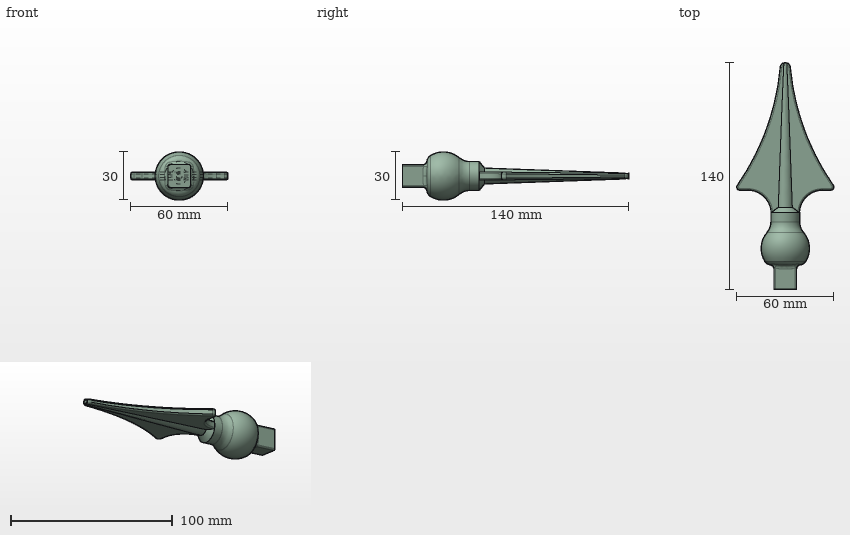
import cadquery as cq
import math

total_length = 140.0

shank_width = 14.0
shank_edge_radius = 1.0
shank_root_radius = 2.5
root_zone_depth = 1.0

ball_radius = 15.0
ball_center_y = 25.3
ball_base_radius = 5.0
ball_base_y = 15.0
neck_radius = 10.0
collar_radius = 18.0 / 2
collar_end_y = 47.4
cone_end_y = 50.7

spine_base_radius = 5.0
spine_tip_radius = 1.8
spine_end_inset = 0.2
spine_end_y = total_length - spine_end_inset

blade_span = 60.0
blade_base_thickness = 5.0
blade_tip_thickness = 3.15
blade_edge_radius = 1.0
blade_root_y = 44.0
blade_root_inset = 0.2
blade_root_half_width = collar_radius - blade_root_inset
barb_radius = 2.0
barb_bottom_y = 61.2
tip_radius = 3.2
throat_radius = 14.2
blade_flank_radius = 150.0


def make_turned_body():
    """Ball, neck, collar and end cone, revolved about the Y axis."""
    base_center_y = ball_base_y + ball_base_radius
    center_gap = ball_radius - ball_base_radius
    base_center_x = math.sqrt(center_gap**2 - (ball_center_y - base_center_y) ** 2)
    base_scale = ball_radius / center_gap
    base_tangent = (
        base_center_x * base_scale,
        ball_center_y + (base_center_y - ball_center_y) * base_scale,
    )
    base_tangent_angle = math.atan2(base_tangent[1] - ball_center_y, base_tangent[0])
    base_mid_angle = (base_tangent_angle - math.pi / 2) / 2
    base_mid = (
        base_center_x + ball_base_radius * math.cos(base_mid_angle),
        base_center_y + ball_base_radius * math.sin(base_mid_angle),
    )

    neck_center_x = collar_radius + neck_radius
    neck_gap = ball_radius + neck_radius
    neck_rise = math.sqrt(neck_gap**2 - neck_center_x**2)
    neck_center_y = ball_center_y + neck_rise
    neck_angle = math.atan2(neck_rise, neck_center_x)
    neck_tangent = (
        ball_radius * math.cos(neck_angle),
        ball_center_y + ball_radius * math.sin(neck_angle),
    )
    neck_mid = (
        neck_center_x - neck_radius * math.cos(neck_angle / 2),
        neck_center_y - neck_radius * math.sin(neck_angle / 2),
    )

    return (
        cq.Workplane("XY")
        .moveTo(0, ball_base_y)
        .lineTo(base_center_x, ball_base_y)
        .threePointArc(base_mid, base_tangent)
        .threePointArc((ball_radius, ball_center_y), neck_tangent)
        .threePointArc(neck_mid, (collar_radius, neck_center_y))
        .lineTo(collar_radius, collar_end_y)
        .lineTo(spine_base_radius, cone_end_y)
        .lineTo(0, cone_end_y)
        .close()
        .revolve(360, (0, 0, 0), (0, 1, 0))
    )


def add_shank(body):
    """Square shank with rounded long edges and a filleted root."""
    shank = (
        cq.Workplane("XZ")
        .rect(shank_width, shank_width)
        .extrude(-ball_center_y)
        .edges("|Y")
        .fillet(shank_edge_radius)
    )
    joined = body.union(shank)
    root_zone = cq.selectors.BoxSelector(
        (-shank_width, ball_base_y - root_zone_depth, -shank_width),
        (shank_width, ball_base_y + root_zone_depth, shank_width),
    )
    return joined.edges(root_zone).fillet(shank_root_radius)


def point_toward(start, target, distance):
    """Point at a distance from start on the line to target."""
    angle = math.atan2(target[1] - start[1], target[0] - start[0])
    return (start[0] + distance * math.cos(angle), start[1] + distance * math.sin(angle))


def make_blade_outline():
    """Solid with the blade's outline, thicker than the finished blade."""
    barb_center = (blade_span / 2 - barb_radius, barb_bottom_y + barb_radius)
    tip_center = (0, total_length - tip_radius)

    barb_gap = blade_flank_radius + barb_radius
    tip_gap = blade_flank_radius + tip_radius
    run = barb_center[0] - tip_center[0]
    rise = barb_center[1] - tip_center[1]
    spacing = math.hypot(run, rise)
    tip_corner_cos = (tip_gap**2 + spacing**2 - barb_gap**2) / (2 * tip_gap * spacing)
    flank_angle = math.atan2(rise, run) + math.acos(tip_corner_cos)
    flank_center = (tip_gap * math.cos(flank_angle), tip_center[1] + tip_gap * math.sin(flank_angle))
    barb_top = point_toward(barb_center, flank_center, barb_radius)
    tip_side = point_toward(tip_center, flank_center, tip_radius)
    chord_mid = ((barb_top[0] + tip_side[0]) / 2, (barb_top[1] + tip_side[1]) / 2)
    flank_mid = point_toward(flank_center, chord_mid, blade_flank_radius)

    throat_center_x = blade_root_half_width + throat_radius
    throat_center_y = barb_bottom_y - throat_radius
    throat_mid = (
        throat_center_x - throat_radius * math.cos(math.pi / 4),
        throat_center_y + throat_radius * math.sin(math.pi / 4),
    )
    half = (
        cq.Workplane("XY", origin=(0, 0, -ball_radius))
        .moveTo(0, blade_root_y)
        .lineTo(blade_root_half_width, blade_root_y)
        .lineTo(blade_root_half_width, throat_center_y)
        .threePointArc(throat_mid, (throat_center_x, barb_bottom_y))
        .lineTo(barb_center[0], barb_bottom_y)
        .threePointArc((blade_span / 2, barb_center[1]), barb_top)
        .threePointArc(flank_mid, tip_side)
        .radiusArc((0, total_length), -tip_radius)
        .close()
        .extrude(2 * ball_radius)
    )
    return half.union(half.mirror("YZ"))


def make_blade():
    """Blade outline trimmed to a tapering thickness, with rounded edges."""
    taper = (blade_base_thickness - blade_tip_thickness) / (total_length - cone_end_y)
    root_half = (blade_base_thickness + taper * (cone_end_y - blade_root_y)) / 2
    tip_half = blade_tip_thickness / 2
    wedge = (
        cq.Workplane("YZ")
        .polyline(
            [
                (blade_root_y, -root_half),
                (total_length, -tip_half),
                (total_length, tip_half),
                (blade_root_y, root_half),
            ]
        )
        .close()
        .extrude(blade_span / 2, both=True)
    )
    blade = make_blade_outline().intersect(wedge)
    return blade.faces(">Z or <Z").edges("not <Y").fillet(blade_edge_radius)


def make_spine():
    """Tapered round spine, ending flat just inside the blade's rounded tip."""
    return (
        cq.Workplane("XY")
        .moveTo(0, cone_end_y)
        .lineTo(spine_base_radius, cone_end_y)
        .lineTo(spine_tip_radius, spine_end_y)
        .lineTo(0, spine_end_y)
        .close()
        .revolve(360, (0, 0, 0), (0, 1, 0))
    )


handle = add_shank(make_turned_body())
result = handle.union(make_blade()).union(make_spine())